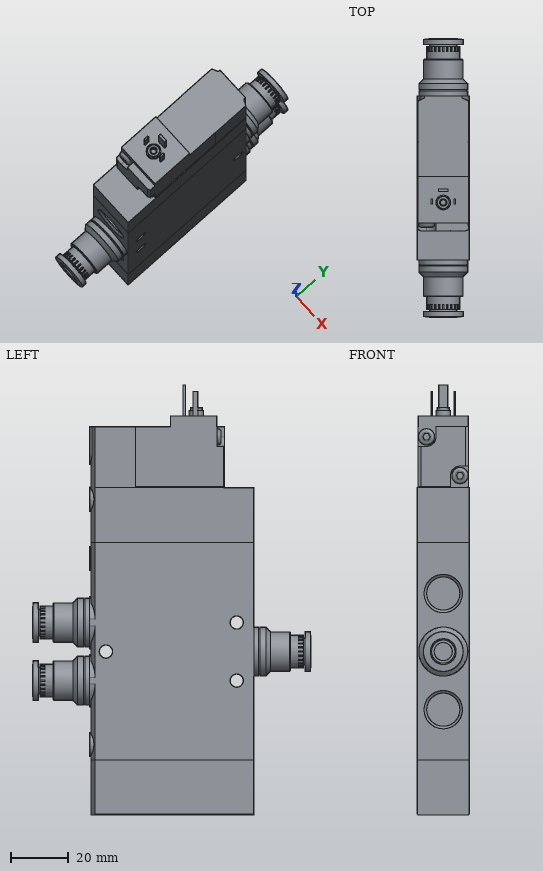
import cadquery as cq

valve_width = 18.0
valve_depth = 56.3
valve_height = 113.0
cap_height = 19.0
housing_top = valve_height - cap_height
mid_z = 56.5
bevel_width = 3.1
bevel_depth = 1.5
bottom_chamfer = 0.5
rear_relief = 0.5

port_diameter = 11.5
port_mouth_diameter = 13.2
port_depth = 11.9
port_pitch = 20.0
front_port_heights = [mid_z - port_pitch, mid_z, mid_z + port_pitch]
rear_port_heights = [mid_z - port_pitch / 2, mid_z + port_pitch / 2]
port_boss_diameter = 18.1

mount_diameter = 4.5
front_mount_y = 6.0
rear_mount_y = 51.1
mount_pitch = 20.0

pad_diameter = 8.3
side_pad_x = -3.9
cap_pad_z = 109.0
housing_pad_offset = 32.1

pilot_width = 17.5
coil_width = 17.4
pilot_top = 134.1
pilot_front_y = 40.8
coil_front_y = 10.1
coil_bottom_chamfer = 0.5
socket_block_top = 137.8
socket_block_front_y = 12.8
socket_block_back_y = 28.8
rear_plate_width = 13.0
rear_plate_height = 13.0
rear_plate_radius = 3.0

cover_half_width = 7.7
cover_edge_depth = 0.5
cover_mid_z = 123.8
screw_x = 5.8
screw_offset_z = 6.7
corner_radius = 3.3
screw_diameter = 5.6
screw_height = 1.5
screw_rounding = 1.2
screw_socket = 2.5
screw_socket_depth = 0.9

side_contact_x = 4.0
side_contact_y = 20.2
side_contact_thickness = 0.6
side_contact_width = 1.8
side_contact_top = 146.3
ground_contact_y = 24.0
ground_contact_thickness = 0.9
ground_contact_width = 3.1
ground_contact_top = 148.5
insert_y = 19.9
insert_diameter = 5.0
insert_top = 139.6
collar_diameter = 4.2
collar_top = 140.6
insert_bore = 2.0
insert_mouth = 2.5
insert_mouth_depth = 0.7

flange_diameter = 17.0
flange_groove_diameter = 16.3
flange_groove_start = 1.6
flange_groove_end = 2.1
flange_length = 4.2
cone_end = 5.8
barrel_diameter = 13.7
barrel_end = 12.6
barrel_chamfer = 0.3
sleeve_diameter = 11.5
sleeve_end = 17.1
sleeve_slot_start = 15.3
sleeve_slot_count = 24
sleeve_slot_width = 0.5
sleeve_slot_depth = 0.5
neck_diameter = 9.4
ring_start = 17.7
ring_diameter = 13.8
ring_rim_end = 19.5
fitting_length = 19.8
tube_diameter = 8.0
flow_diameter = 6.2
tube_mouth_diameter = 8.9
tube_mouth_depth = 0.5
tube_depth = 17.8
front_seat_y = 0.0
rear_seat_y = valve_depth + rear_relief


def box(x0, x1, y0, y1, z0, z1):
    return cq.Workplane("XY").box(x1 - x0, y1 - y0, z1 - z0, centered=False).translate((x0, y0, z0))


def cylinder_y(diameter, x, z, y0, y1):
    """Cylinder along Y from y0 to y1."""
    plane = cq.Workplane("XZ", origin=(x, y0, z))
    return plane.circle(diameter / 2).extrude(-(y1 - y0))


def valve_block(z0, z1):
    """Slice of the valve profile, with its two slanted rear corners."""
    half = valve_width / 2
    outline = [
        (-half, 0),
        (half, 0),
        (half, valve_depth - bevel_depth),
        (half - bevel_width, valve_depth),
        (-half + bevel_width, valve_depth),
        (-half, valve_depth - bevel_depth),
    ]
    return cq.Workplane("XY", origin=(0, 0, z0)).polyline(outline).close().extrude(z1 - z0)


def rear_pad(x, z):
    return cylinder_y(pad_diameter, x, z, valve_depth - bevel_depth, rear_seat_y)


def port(z, seat_y, inward):
    """Port bore with a chamfered mouth; inward is +1 from the front and -1 from the rear."""
    bore_r = port_diameter / 2
    mouth_r = port_mouth_diameter / 2
    profile = [
        (0, 0),
        (mouth_r, 0),
        (bore_r, inward * (mouth_r - bore_r)),
        (bore_r, inward * port_depth),
        (0, inward * port_depth),
    ]
    cutter = cq.Workplane("XY").polyline(profile).close().revolve(360, (0, 0, 0), (0, 1, 0))
    return cutter.translate((0, seat_y, z))


def make_housing():
    body = valve_block(cap_height, housing_top)
    for z in rear_port_heights:
        boss = cylinder_y(port_boss_diameter, 0, z, valve_depth - bevel_depth, rear_seat_y)
        side_limit = box(-valve_width / 2, valve_width / 2, 0, rear_seat_y, 0, valve_height)
        body = body.union(boss.intersect(side_limit))
    body = body.union(rear_pad(side_pad_x, mid_z - housing_pad_offset))
    body = body.union(rear_pad(0, mid_z + housing_pad_offset))
    for z in front_port_heights:
        body = body.cut(port(z, front_seat_y, 1))
    for z in rear_port_heights:
        body = body.cut(port(z, rear_seat_y, -1))
    mounts = [
        (rear_mount_y, mid_z),
        (front_mount_y, mid_z - mount_pitch / 2),
        (front_mount_y, mid_z + mount_pitch / 2),
    ]
    holes = cq.Workplane("YZ").pushPoints(mounts).circle(mount_diameter / 2).extrude(valve_width, both=True)
    return body.cut(holes)


def make_bottom_cap():
    return valve_block(0, cap_height).faces("<Z").edges("|Y").chamfer(bottom_chamfer)


def make_pilot_block():
    """Rear block below the coil, narrower than the cap, with a raised plate at the back."""
    half = pilot_width / 2
    block = valve_block(valve_height, pilot_top)
    block = block.intersect(box(-half, half, pilot_front_y, valve_depth, valve_height, pilot_top))
    plate = box(
        -rear_plate_width / 2, rear_plate_width / 2,
        valve_depth - bevel_depth, rear_seat_y,
        pilot_top - rear_plate_height, pilot_top,
    )
    return block.union(plate.edges("|Y and <Z").fillet(rear_plate_radius))


def screw_corner(side):
    """Cut-away corner around a screw: side -1 is upper left, +1 is lower right."""
    center_z = cover_mid_z + screw_offset_z
    corner = box(
        -valve_width, -screw_x + corner_radius,
        0, socket_block_front_y,
        center_z - corner_radius, socket_block_top,
    )
    corner = corner.edges("|Y and >X and <Z").fillet(corner_radius)
    if side > 0:
        corner = corner.rotate((0, 0, cover_mid_z), (0, 1, cover_mid_z), 180)
    return corner


def screw_head(side):
    x = side * screw_x
    z = cover_mid_z - side * screw_offset_z
    top_y = socket_block_front_y - screw_height
    head = cylinder_y(screw_diameter, x, z, top_y, socket_block_front_y)
    head = head.faces("<Y").edges().fillet(screw_rounding)
    socket = (
        cq.Workplane("XZ", origin=(x, top_y, z))
        .polygon(6, screw_socket).extrude(-screw_socket_depth)
    )
    return head.cut(socket)


def cover_slant(side):
    """Wedge that slants the upright edge of the cover on one side."""
    half = coil_width / 2
    outline = [
        (side * half, coil_front_y),
        (side * cover_half_width, coil_front_y),
        (side * half, coil_front_y + cover_edge_depth),
    ]
    wedge = cq.Workplane("XY", origin=(0, 0, valve_height)).polyline(outline).close()
    return wedge.extrude(pilot_top - valve_height)


def make_coil():
    half = coil_width / 2
    coil = box(-half, half, coil_front_y, pilot_front_y, valve_height, pilot_top)
    coil = coil.faces("<Z").edges("|Y or <Y").chamfer(coil_bottom_chamfer)
    socket_block = box(
        -half, half, socket_block_front_y, socket_block_back_y, pilot_top, socket_block_top
    )
    coil = coil.union(socket_block)
    for side in (-1, 1):
        coil = coil.cut(cover_slant(side))
        coil = coil.cut(screw_corner(side)).union(screw_head(side))
    return coil


def contact(x, y, size_x, size_y, top):
    return box(x - size_x / 2, x + size_x / 2, y - size_y / 2, y + size_y / 2, socket_block_top, top)


def make_insert():
    """Stepped round insert with a counterbored hole."""
    base = cq.Workplane("XY", origin=(0, insert_y, socket_block_top))
    insert = base.circle(insert_diameter / 2).extrude(insert_top - socket_block_top)
    insert = insert.union(base.circle(collar_diameter / 2).extrude(collar_top - socket_block_top))
    return insert.faces(">Z").workplane(origin=(0, insert_y, collar_top)).cboreHole(
        insert_bore, insert_mouth, insert_mouth_depth
    )


def make_contacts():
    """Two side contacts and a ground blade around the insert."""
    parts = make_insert().union(
        contact(0, ground_contact_y, ground_contact_width, ground_contact_thickness, ground_contact_top)
    )
    for x in (-side_contact_x, side_contact_x):
        side_contact = contact(
            x, side_contact_y, side_contact_thickness, side_contact_width, side_contact_top
        )
        parts = parts.union(side_contact)
    return parts


def make_pilot_head():
    """Top cap carrying the pilot block, the coil and its contacts."""
    cap = valve_block(housing_top, valve_height).union(rear_pad(side_pad_x, cap_pad_z))
    cap = cap.union(make_pilot_block())
    return cap.union(make_coil()).union(make_contacts())


def sleeve_slots(outward):
    """Ring of lengthwise slots at the outer end of the sleeve."""
    start = outward * sleeve_slot_start
    length = outward * (sleeve_end - sleeve_slot_start)
    return (
        cq.Workplane("XZ", origin=(0, start, 0))
        .polarArray(sleeve_diameter / 2, 0, 360, sleeve_slot_count)
        .rect(2 * sleeve_slot_depth, sleeve_slot_width)
        .extrude(-length)
    )


def make_fitting(z, seat_y, outward):
    """Push-in fitting with its stem in the port; outward is -1 at the front and +1 at the rear."""
    steps = [
        (port_diameter / 2, -port_depth),
        (port_diameter / 2, 0),
        (flange_diameter / 2, 0),
        (flange_diameter / 2, flange_groove_start),
        (flange_groove_diameter / 2, flange_groove_start),
        (flange_groove_diameter / 2, flange_groove_end),
        (flange_diameter / 2, flange_groove_end),
        (flange_diameter / 2, flange_length),
        (barrel_diameter / 2, cone_end),
        (barrel_diameter / 2, barrel_end - barrel_chamfer),
        (barrel_diameter / 2 - barrel_chamfer, barrel_end),
        (sleeve_diameter / 2, barrel_end),
        (sleeve_diameter / 2, sleeve_end),
        (neck_diameter / 2, sleeve_end),
        (neck_diameter / 2, ring_start),
        (ring_diameter / 2, ring_start),
        (ring_diameter / 2, ring_rim_end),
        (tube_mouth_diameter / 2, fitting_length),
        (tube_diameter / 2, fitting_length - tube_mouth_depth),
        (tube_diameter / 2, fitting_length - tube_depth),
        (flow_diameter / 2, fitting_length - tube_depth),
        (flow_diameter / 2, -port_depth),
    ]
    profile = [(radius, outward * reach) for radius, reach in steps]
    fitting = cq.Workplane("XY").polyline(profile).close().revolve(360, (0, 0, 0), (0, 1, 0))
    return fitting.cut(sleeve_slots(outward)).translate((0, seat_y, z))


housing = make_housing()
bottom_cap = make_bottom_cap()
pilot_head = make_pilot_head()
fittings = [make_fitting(mid_z, front_seat_y, -1)]
for fitting_z in rear_port_heights:
    fittings.append(make_fitting(fitting_z, rear_seat_y, 1))

result = cq.Compound.makeCompound(
    [housing.val(), bottom_cap.val(), pilot_head.val(), *[fitting.val() for fitting in fittings]]
)